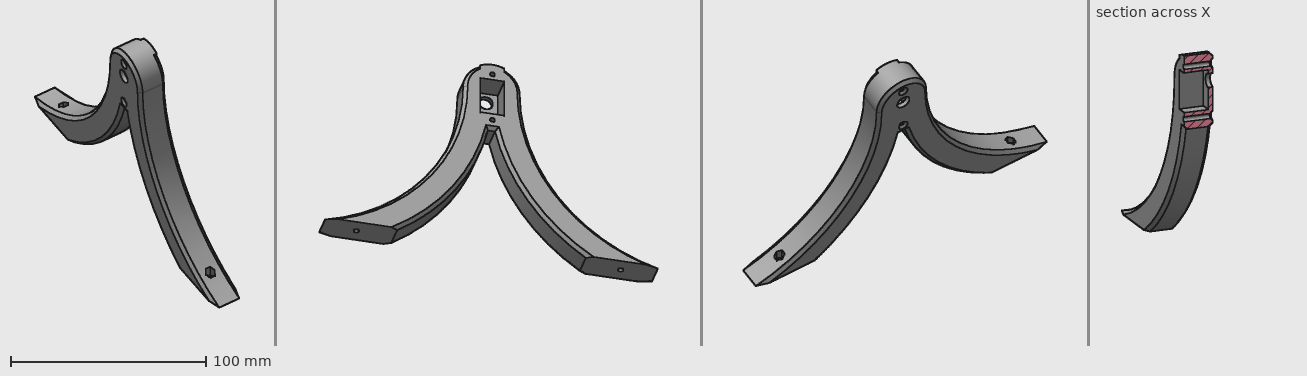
import cadquery as cq
import math

span = 176.5
height = 110.0
thickness = 16.0
head_radius = 15.0
leg_width = 15.9
crotch_height = 70.0
chamfer = 2.0
plain_rim_width = 12.7

pivot_diameter = 7.5
pocket_width = plain_rim_width
pocket_height = 21.2
pocket_bottom = 79.5
pocket_front_wall = 2.6
screw_diameter = 2.5
screw_head_diameter = 5.3
screw_heights = (75.7, 104.0)
foot_screw_diameter = 2.8
foot_screw_offset = 70.0
nut_width = 4.8
nut_floor = 1.8

half_span = span / 2
half_thickness = thickness / 2
head_height = height - head_radius
reach = half_span - head_radius
outer_radius = (reach**2 + head_height**2) / (2 * reach)
inner_radius = outer_radius + leg_width
arc_center_x = head_radius + outer_radius


def arc_x(radius, z):
    """X of the right leg's arc of the given radius at height z."""
    return arc_center_x - math.sqrt(radius**2 - (head_height - z) ** 2)


def silhouette():
    """Closed outline of head and legs in the XZ plane."""
    outer_mid_z = head_height / 2
    inner_mid_z = crotch_height / 2
    outer_mid_x = arc_x(outer_radius, outer_mid_z)
    inner_mid_x = arc_x(inner_radius, inner_mid_z)
    inner_foot_x = arc_x(inner_radius, 0)
    crotch_x = arc_x(inner_radius, crotch_height)
    return (
        cq.Workplane("XZ")
        .moveTo(-half_span, 0)
        .threePointArc((-outer_mid_x, outer_mid_z), (-head_radius, head_height))
        .threePointArc((0, height), (head_radius, head_height))
        .threePointArc((outer_mid_x, outer_mid_z), (half_span, 0))
        .lineTo(inner_foot_x, 0)
        .threePointArc((inner_mid_x, inner_mid_z), (crotch_x, crotch_height))
        .lineTo(-crotch_x, crotch_height)
        .threePointArc((-inner_mid_x, inner_mid_z), (-inner_foot_x, 0))
        .close()
    )


def chamfered_body():
    """Plate with all front and rear edges chamfered except along the ground."""
    plate = silhouette().extrude(half_thickness, both=True)
    body = plate.faces("<Y or >Y").edges("not <Z").chamfer(chamfer)
    rim_zone = cq.Workplane("XY").box(
        plain_rim_width, half_thickness, head_radius, centered=(True, False, False)
    )
    plain_rim = plate.intersect(rim_zone.translate((0, 0, head_height)))
    return body.union(plain_rim)


def cylinder_along_y(diameter, z, y_start, length):
    """Cylinder on the mid plane of the part, running toward +Y."""
    base = cq.Workplane("XZ", origin=(0, y_start, z))
    return base.circle(diameter / 2).extrude(-length)


def cylinder_along_z(diameter, x, z_start, length):
    """Upright cylinder centered in the thickness."""
    return cq.Workplane("XY", origin=(x, 0, z_start)).circle(diameter / 2).extrude(length)


def countersink(z):
    """90 degree cone opening on the front face and narrowing to the screw hole."""
    depth = (screw_head_diameter - screw_diameter) / 2
    return cq.Workplane(
        cq.Solid.makeCone(
            screw_head_diameter / 2,
            screw_diameter / 2,
            depth,
            pnt=cq.Vector(0, -half_thickness, z),
            dir=cq.Vector(0, 1, 0),
        )
    )


result = chamfered_body()

result = result.cut(cylinder_along_y(pivot_diameter, head_height, -half_thickness, thickness))

pocket = cq.Workplane("XY").box(
    pocket_width, thickness - pocket_front_wall, pocket_height, centered=(True, False, False)
)
result = result.cut(pocket.translate((0, pocket_front_wall - half_thickness, pocket_bottom)))

for z in screw_heights:
    result = result.cut(cylinder_along_y(screw_diameter, z, -half_thickness, thickness))
    result = result.cut(countersink(z))

nut_corner_diameter = nut_width / math.cos(math.pi / 6)
for x in (-foot_screw_offset, foot_screw_offset):
    result = result.cut(cylinder_along_z(foot_screw_diameter, x, 0, head_height))
    nut_plane = cq.Workplane("XY", origin=(x, 0, nut_floor)).transformed(rotate=(0, 0, 90))
    result = result.cut(nut_plane.polygon(6, nut_corner_diameter).extrude(head_height))